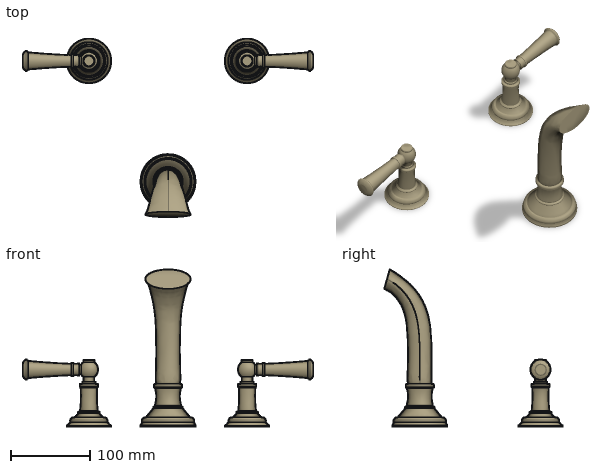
import cadquery as cq
import math

handle_spacing = 200.0
handle_setback = 152.5
overall_width = 367.5

spout_plinth_radius, spout_plinth_top = 35.0, 2.0
spout_band_radius, spout_band_bottom, spout_band_top = 33.0, 5.5, 8.5
spout_shoulder_radius, spout_shoulder_height = 30.0, 11.5
spout_cone_bottom_radius = 28.3
spout_cone_top_radius, spout_cone_top = 18.5, 23.0
spout_bead_end = 25.0
spout_column_end_radius, spout_column_radius = 16.5, 15.0
spout_step_bottom, spout_column_bottom = 26.0, 27.5
spout_column_top, spout_ring_bottom = 48.5, 49.5
spout_ring_radius, spout_ring_edge, spout_ring_top = 18.0, 52.0, 54.0

tube_sections = [
    (0.0, spout_ring_top, 0.0, spout_column_radius, spout_column_radius),
    (0.0, 81.3, 11.0, spout_column_radius, 15.5),
    (0.0, 97.8, 18.0, spout_column_radius, 15.8),
    (0.7, 115.0, 25.0, 15.5, 16.0),
    (6.5, 146.7, 41.0, 17.3, 15.0),
    (14.7, 163.0, 53.0, 20.2, 13.5),
    (25.0, 175.0, 65.0, 23.0, 12.5),
    (41.5, 186.5, 74.0, 28.5, 13.0),
]

foot_radius, foot_edge_top = 28.3, 1.0
foot_band_radius, foot_band_bottom, foot_band_top = 23.5, 5.5, 8.5
foot_shoulder_radius, foot_shoulder_height = 21.0, 11.5
foot_cone_bottom_radius = 18.8
foot_bead_radius, foot_bead_bottom, foot_bead_top = 13.5, 16.5, 18.5
column_bottom_radius, column_top_radius, column_hollow = 11.5, 10.5, 0.7
column_bottom, column_top = 20.0, 49.3
column_ring_radius, column_ring_bottom, column_ring_edge, column_ring_top = 11.8, 50.5, 52.2, 54.0
column_ring_face_radius = 11.0
collar_radius, collar_top = 8.5, 56.5
neck_radius = 7.0
ball_radius, ball_height = 11.8, 72.0
cap_radius, cap_top, cap_chamfer = 7.5, 84.2, 0.7

lever_length = overall_width / 2 - handle_spacing / 2
lever_neck_radius = 6.3
lever_flange_radius, lever_flange_start, lever_flange_end = 7.7, 12.5, 13.5
lever_ring_radius, lever_ring_start, lever_ring_end = 8.5, 20.0, 22.0
grip_small_radius, grip_large_radius, grip_end = 7.5, 11.0, 77.0
end_bead_radius, end_bead_start, end_bead_end = 12.5, 78.3, 80.0
end_face_radius = 7.0

slight_bulge = 0.5
end_dome_bulge = 0.7


def bulged_middle(start, end, bulge):
    """Midpoint of two points, moved sideways by the bulge (positive is right of the travel)."""
    run = end[0] - start[0]
    rise = end[1] - start[1]
    length = math.hypot(run, rise)
    middle_x = (start[0] + end[0]) / 2 + bulge * rise / length
    middle_y = (start[1] + end[1]) / 2 - bulge * run / length
    return middle_x, middle_y


def arc_to(profile, start, end, bulge):
    """Add an arc from start to end with the given bulge height."""
    return profile.threePointArc(bulged_middle(start, end, bulge), end)


def revolve_about_z(profile):
    """Close the profile on the Z axis and turn it into a solid."""
    return profile.close().revolve(360, (0, 0, 0), (0, 1, 0))


def make_spout_foot():
    """Turned foot, column and ring below the tube."""
    plinth = (spout_plinth_radius, spout_plinth_top)
    band_bottom = (spout_band_radius, spout_band_bottom)
    band_top = (spout_band_radius, spout_band_top)
    shoulder = (spout_shoulder_radius, spout_shoulder_height)
    cone_top = (spout_cone_top_radius, spout_cone_top)
    bead_end = (spout_cone_top_radius, spout_bead_end)
    step_bottom = (spout_column_end_radius, spout_step_bottom)
    column_start = (spout_column_end_radius, spout_column_bottom)
    column_end = (spout_column_end_radius, spout_column_top)
    ring_edge = (spout_ring_radius, spout_ring_edge)
    ring_face = (spout_column_end_radius, spout_ring_top)

    profile = cq.Workplane("XZ").lineTo(spout_plinth_radius, 0).lineTo(*plinth)
    profile = arc_to(profile, plinth, band_bottom, -slight_bulge)
    profile = arc_to(profile, band_bottom, band_top, slight_bulge)
    profile = arc_to(profile, band_top, shoulder, slight_bulge)
    profile = profile.lineTo(spout_cone_bottom_radius, spout_shoulder_height)
    profile = profile.lineTo(*cone_top)
    profile = arc_to(profile, cone_top, bead_end, slight_bulge)
    profile = profile.lineTo(*step_bottom)
    profile = profile.lineTo(*column_start)
    profile = arc_to(profile, column_start, column_end, spout_column_radius - spout_column_end_radius)
    profile = profile.lineTo(spout_ring_radius, spout_ring_bottom)
    profile = profile.lineTo(*ring_edge)
    profile = arc_to(profile, ring_edge, ring_face, slight_bulge)
    profile = profile.lineTo(0, spout_ring_top)
    return revolve_about_z(profile)


def make_tube_section(reach, height, tilt, half_width, half_depth):
    """One elliptical section of the tube, leaning forward by the tilt."""
    angle = math.radians(tilt)
    plane = cq.Plane(
        origin=(0, -reach, height),
        xDir=(1, 0, 0),
        normal=(0, -math.sin(angle), math.cos(angle)),
    )
    ellipse = cq.Workplane(plane).ellipse(half_width, half_depth)
    return ellipse.wires().val()


def make_spout():
    """Spout: the tube lofted through its sections and joined to its foot."""
    wires = [make_tube_section(*section) for section in tube_sections]
    tube = cq.Workplane(cq.Solid.makeLoft(wires))
    return make_spout_foot().union(tube)


def make_handle_column():
    """Turned foot, column, ring, collar and neck up to the ball centre."""
    edge = (foot_radius, foot_edge_top)
    band_bottom = (foot_band_radius, foot_band_bottom)
    band_top = (foot_band_radius, foot_band_top)
    shoulder = (foot_shoulder_radius, foot_shoulder_height)
    cone_bottom = (foot_cone_bottom_radius, foot_shoulder_height)
    bead_bottom = (foot_bead_radius, foot_bead_bottom)
    bead_top = (foot_bead_radius, foot_bead_top)
    column_start = (column_bottom_radius, column_bottom)
    column_end = (column_top_radius, column_top)
    ring_edge = (column_ring_radius, column_ring_edge)
    ring_face = (column_ring_face_radius, column_ring_top)

    profile = cq.Workplane("XZ").lineTo(foot_radius, 0).lineTo(*edge)
    profile = arc_to(profile, edge, band_bottom, -slight_bulge)
    profile = arc_to(profile, band_bottom, band_top, slight_bulge)
    profile = arc_to(profile, band_top, shoulder, slight_bulge)
    profile = profile.lineTo(*cone_bottom)
    profile = arc_to(profile, cone_bottom, bead_bottom, -slight_bulge)
    profile = arc_to(profile, bead_bottom, bead_top, slight_bulge)
    profile = profile.lineTo(*column_start)
    profile = arc_to(profile, column_start, column_end, -column_hollow)
    profile = profile.lineTo(column_ring_radius, column_ring_bottom)
    profile = profile.lineTo(*ring_edge)
    profile = arc_to(profile, ring_edge, ring_face, slight_bulge)
    profile = profile.lineTo(collar_radius, column_ring_top)
    profile = profile.lineTo(collar_radius, collar_top)
    profile = profile.lineTo(neck_radius, collar_top)
    profile = profile.lineTo(neck_radius, ball_height)
    profile = profile.lineTo(0, ball_height)
    return revolve_about_z(profile)


def make_ball():
    """Ball with a low chamfered cap on top."""
    ball = cq.Workplane("XY").sphere(ball_radius).translate((0, 0, ball_height))
    cap = (
        cq.Workplane("XY", origin=(0, 0, ball_height))
        .circle(cap_radius)
        .extrude(cap_top - ball_height)
        .faces(">Z")
        .chamfer(cap_chamfer)
    )
    return ball.union(cap)


def make_lever():
    """Turned lever pointing along +X from the ball centre."""
    throat_start = (lever_flange_end, lever_flange_radius)
    throat_end = (lever_ring_start, lever_flange_radius)
    grip_start = (lever_ring_end, grip_small_radius)
    grip_finish = (grip_end, grip_large_radius)
    bead_start = (end_bead_start, end_bead_radius)
    bead_finish = (end_bead_end, end_bead_radius)
    face_edge = (lever_length, end_face_radius)

    profile = cq.Workplane("XZ", origin=(0, 0, ball_height)).lineTo(0, lever_neck_radius)
    profile = profile.lineTo(lever_flange_start, lever_neck_radius)
    profile = profile.lineTo(lever_flange_start, lever_flange_radius)
    profile = profile.lineTo(*throat_start)
    profile = arc_to(profile, throat_start, throat_end, slight_bulge)
    profile = profile.lineTo(lever_ring_start, lever_ring_radius)
    profile = profile.lineTo(lever_ring_end, lever_ring_radius)
    profile = profile.lineTo(*grip_start)
    profile = arc_to(profile, grip_start, grip_finish, slight_bulge)
    profile = profile.lineTo(*bead_start)
    profile = arc_to(profile, bead_start, bead_finish, -slight_bulge)
    profile = arc_to(profile, bead_finish, face_edge, -end_dome_bulge)
    profile = profile.lineTo(lever_length, 0)
    return profile.close().revolve(360, (0, 0, 0), (1, 0, 0))


def make_handle(turn):
    """Handle in its place, with its lever turned about Z to point outward."""
    handle = make_handle_column().union(make_ball()).union(make_lever())
    side = math.cos(math.radians(turn))
    place = (side * handle_spacing / 2, handle_setback, 0)
    return handle.rotate((0, 0, 0), (0, 0, 1), turn).translate(place)


spout = make_spout()
handles = [make_handle(turn) for turn in (0, 180)]

result = cq.Compound.makeCompound([spout.val(), *[handle.val() for handle in handles]])